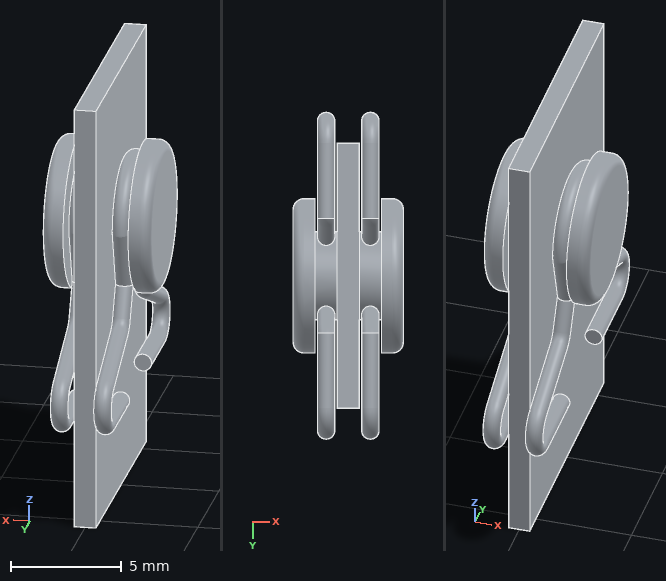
import cadquery as cq
import math

PLATE_THICKNESS = 1.0
PLATE_WIDTH = 12.0
PLATE_HEIGHT = 20.0

BUTTON_Z = 3.0
STEM_RADIUS = 2.0
STEM_LENGTH = 1.0
HEAD_RADIUS = 3.5
HEAD_THICKNESS = 1.0
HEAD_ROUNDING = 0.5

WIRE_RADIUS = 0.4
SPRING_X = (PLATE_THICKNESS + STEM_LENGTH) / 2
LOOP_RADIUS = 2.6
KNEE_Y = 1.8
KNEE_Z = -2.7
ELBOW_Y = 2.7
ELBOW_RADIUS = 1.0
ARM_SLOPE = math.radians(23.0)
HOOK_RADIUS = 1.0
HOOK_Y = PLATE_WIDTH / 2
HOOK_Z = -7.0
TAIL_END_Y = 2.6

JOINT_OVERLAP = 1.5 * WIRE_RADIUS
MITRE_REACH = 2 * WIRE_RADIUS


def make_plate():
    """Plate and both buttons as one body."""
    body = cq.Workplane("XY").box(PLATE_THICKNESS, PLATE_WIDTH, PLATE_HEIGHT)
    stem_end = PLATE_THICKNESS / 2 + STEM_LENGTH
    stem = cq.Workplane("YZ").center(0, BUTTON_Z).circle(STEM_RADIUS).extrude(stem_end, both=True)
    head = (
        cq.Workplane("YZ", origin=(stem_end, 0, BUTTON_Z))
        .circle(HEAD_RADIUS)
        .extrude(HEAD_THICKNESS)
        .faces(">X")
        .edges()
        .fillet(HEAD_ROUNDING)
    )
    return body.union(stem).union(head).union(head.mirror("YZ"))


def step(point, distance, angle):
    """Point reached by moving a distance in a direction in the YZ plane."""
    return (point[0] + distance * math.cos(angle), point[1] + distance * math.sin(angle))


def direction(start, end):
    """Angle of the line from start to end in the YZ plane."""
    return math.atan2(end[1] - start[1], end[0] - start[0])


def pipe(path, start, angle):
    """Round wire swept along a smooth path that leaves the start at the given angle."""
    section_plane = cq.Plane(
        origin=(0, *start), xDir=(1, 0, 0), normal=(0, math.cos(angle), math.sin(angle))
    )
    return cq.Workplane(section_plane).circle(WIRE_RADIUS).sweep(path)


def path_from(start):
    """Start of a centre line in the YZ plane."""
    return cq.Workplane("YZ").moveTo(*start)


def make_spring(x):
    """One wire spring, made of two mirrored halves, at the given X."""
    hook_centre = (HOOK_Y, HOOK_Z)
    hook_bottom = (HOOK_Y, HOOK_Z - HOOK_RADIUS)
    hook_side = (HOOK_Y + HOOK_RADIUS, HOOK_Z)
    hook_top = step(hook_centre, HOOK_RADIUS, math.pi / 2 - ARM_SLOPE)
    tail_end = (TAIL_END_Y, hook_bottom[1])

    corner = (ELBOW_Y, hook_top[1] + (hook_top[0] - ELBOW_Y) * math.tan(ARM_SLOPE))
    knee = (KNEE_Y, KNEE_Z)
    arm_angle = -ARM_SLOPE
    leg_angle = direction(corner, knee)
    half_opening = (leg_angle - arm_angle) / 2
    setback = ELBOW_RADIUS / math.tan(half_opening)
    elbow_start = step(corner, setback, arm_angle)
    elbow_end = step(corner, setback, leg_angle)
    corner_to_arc = ELBOW_RADIUS / math.sin(half_opening) - ELBOW_RADIUS
    elbow_middle = step(corner, corner_to_arc, arm_angle + half_opening)

    arm_end = step(knee, JOINT_OVERLAP, leg_angle)
    arm_path = (
        path_from(tail_end)
        .lineTo(*hook_bottom)
        .threePointArc(hook_side, hook_top)
        .lineTo(*elbow_start)
        .threePointArc(elbow_middle, elbow_end)
        .lineTo(*arm_end)
    )
    arm = pipe(arm_path, tail_end, 0)

    loop_end = (LOOP_RADIUS, 0)
    loop_top = (0, LOOP_RADIUS)
    loop_middle = step((0, 0), LOOP_RADIUS, math.pi / 4)

    loop_start = (LOOP_RADIUS, -JOINT_OVERLAP)
    loop_path = path_from(loop_start).lineTo(*loop_end).threePointArc(loop_middle, loop_top)
    loop = pipe(loop_path, loop_start, math.pi / 2)

    neck_angle = direction(knee, loop_end)
    neck_start = step(knee, -JOINT_OVERLAP, neck_angle)
    neck_end = step(loop_end, JOINT_OVERLAP, neck_angle)
    neck = pipe(path_from(neck_start).lineTo(*neck_end), neck_start, neck_angle)
    knee_mitre = (leg_angle + neck_angle - math.pi) / 2
    loop_mitre = (neck_angle - math.pi / 2) / 2
    neck_zone = (
        path_from(step(knee, -MITRE_REACH, knee_mitre))
        .lineTo(*step(knee, MITRE_REACH, knee_mitre))
        .lineTo(*step(loop_end, MITRE_REACH, loop_mitre))
        .lineTo(*step(loop_end, -MITRE_REACH, loop_mitre))
        .close()
        .extrude(MITRE_REACH, both=True)
    )

    half = arm.cut(neck_zone).union(neck.intersect(neck_zone)).union(loop.cut(neck_zone))
    return half.union(half.mirror("XZ")).translate((x, 0, BUTTON_Z))


plate = make_plate()
springs = [make_spring(x) for x in (-SPRING_X, SPRING_X)]

result = cq.Compound.makeCompound([plate.solids().val(), *[spring.solids().val() for spring in springs]])